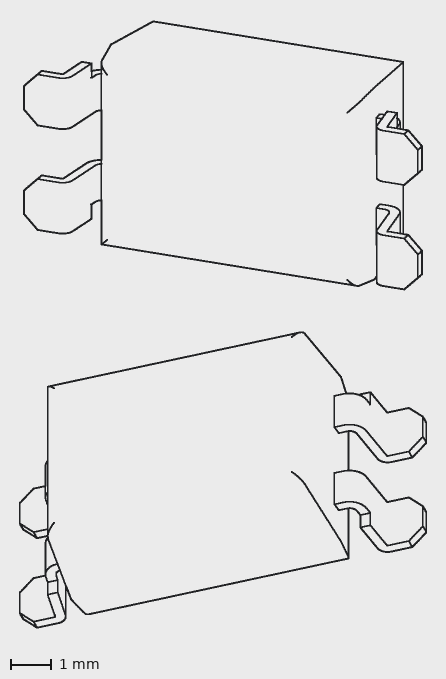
import cadquery as cq
import math


body_length = 7.00
body_width = 5.10
body_bottom = 0.35
parting_height = 1.38
body_top = 3.85
body_edge_radius = 0.30
end_draft_above = 4.5
end_draft_below = 6.0
side_draft_above = 5.7
side_draft_below = 8.5

span = 10.46
lead_thickness = 0.26
lead_top = 1.78
shank_lean = 7.5
shoulder_x = 3.70
shoulder_inner_radius = 0.20
heel_inner_radius = 0.02
lead_inner_z = 0.71
narrow_width = 0.97
wide_width = 1.353
step_height = 1.165
toe_chamfer = 0.365
lead_root_x = body_length / 4

shoulder_outer_radius = shoulder_inner_radius + lead_thickness
heel_outer_radius = heel_inner_radius + lead_thickness
toe_x = span / 2
lean = math.radians(shank_lean)


def drafted_profile(plane, width, draft_below, draft_above):
    """Cross-section, widest at the parting line, with rounded bottom and top corners."""
    half = width / 2
    bottom_half = half - (parting_height - body_bottom) * math.tan(math.radians(draft_below))
    top_half = half - (body_top - parting_height) * math.tan(math.radians(draft_above))
    sketch = (
        cq.Sketch()
        .polygon([
            (-bottom_half, body_bottom),
            (bottom_half, body_bottom),
            (half, parting_height),
            (top_half, body_top),
            (-top_half, body_top),
            (-half, parting_height),
            (-bottom_half, body_bottom),
        ])
        .vertices("<Y or >Y")
        .fillet(body_edge_radius)
    )
    return cq.Workplane(plane).placeSketch(sketch)


def make_body():
    """Crossing of the lengthwise and widthwise sections, so the rounded edges meet in mitres."""
    lengthwise = drafted_profile("XY", body_length, end_draft_below, end_draft_above)
    widthwise = drafted_profile("ZY", body_width, side_draft_below, side_draft_above)
    return lengthwise.extrude(body_width / 2, both=True).intersect(
        widthwise.extrude(body_length / 2, both=True)
    )


def bend_point(center, radius, angle):
    return (center[0] + radius * math.cos(angle), center[1] + radius * math.sin(angle))


def lead_strip():
    """Gull-wing strip of the +X, +Z lead at its full width."""
    shoulder = (shoulder_x, lead_top - shoulder_outer_radius)
    offset = shoulder_inner_radius + heel_outer_radius
    drop = shoulder[1] - heel_outer_radius
    shank_length = (drop + offset * math.sin(lean)) / math.cos(lean)
    heel_x = shoulder_x + offset * math.cos(lean) + shank_length * math.sin(lean)
    heel = (heel_x, heel_outer_radius)

    shoulder_middle = (math.pi / 2 + lean) / 2
    heel_end = math.pi + lean
    heel_middle = (heel_end + 3 * math.pi / 2) / 2
    return (
        cq.Workplane("XY", origin=(0, 0, lead_inner_z))
        .moveTo(lead_root_x, lead_top)
        .lineTo(shoulder_x, lead_top)
        .threePointArc(
            bend_point(shoulder, shoulder_outer_radius, shoulder_middle),
            bend_point(shoulder, shoulder_outer_radius, lean),
        )
        .lineTo(*bend_point(heel, heel_inner_radius, heel_end))
        .threePointArc(
            bend_point(heel, heel_inner_radius, heel_middle),
            (heel_x, lead_thickness),
        )
        .lineTo(toe_x, lead_thickness)
        .lineTo(toe_x, 0)
        .lineTo(heel_x, 0)
        .threePointArc(
            bend_point(heel, heel_outer_radius, heel_middle),
            bend_point(heel, heel_outer_radius, heel_end),
        )
        .lineTo(*bend_point(shoulder, shoulder_inner_radius, lean))
        .threePointArc(
            bend_point(shoulder, shoulder_inner_radius, shoulder_middle),
            (shoulder_x, lead_top - lead_thickness),
        )
        .lineTo(lead_root_x, lead_top - lead_thickness)
        .close()
        .extrude(wide_width)
    )


def make_lead(body):
    """The +X, +Z lead: narrow above the step, chamfered at the toe, ending on the body face."""
    above_step = cq.Workplane("XY").box(
        toe_x, lead_top - step_height, wide_width - narrow_width, centered=False
    ).translate((0, step_height, lead_inner_z + narrow_width))
    lead = lead_strip().edges("|Y and >X").chamfer(toe_chamfer)
    return lead.cut(above_step).cut(body)


body = make_body()
lead = make_lead(body)

leads = []
for x_turn in (False, True):
    for z_turn in (False, True):
        placed = lead
        if x_turn:
            placed = placed.mirror("YZ")
        if z_turn:
            placed = placed.mirror("XY")
        leads.append(placed.solids().val())

result = cq.Compound.makeCompound([body.solids().val(), *leads])